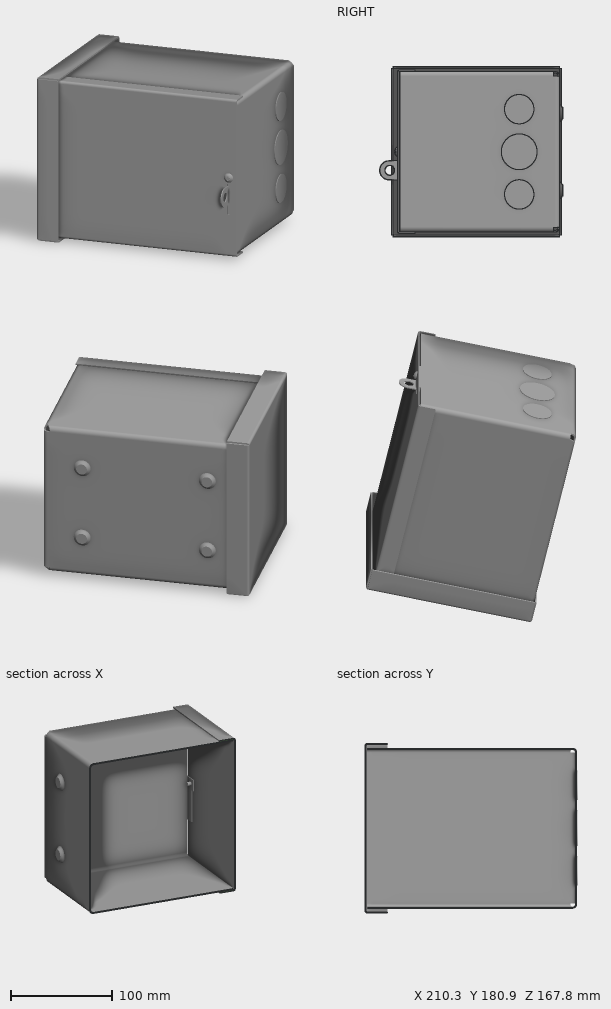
import cadquery as cq
import math

OVERALL_LENGTH = 210.3
SHEET = 1.5

HOOD_SIZE = 167.8
HOOD_DEPTH = 23.0
HOOD_SHEET = 1.7
HOOD_BEND = 2.5
HOOD_CORNER_INSET = 1.7

INNER_X = HOOD_BEND
END_X = 209.5
BACK_Y = HOOD_SIZE / 2 - HOOD_SHEET

COVER_FRONT_Y = -78.0
COVER_HEIGHT = 161.3
COVER_FLANGE = 17.7
COVER_BEND = 2.5
COVER_INNER_Y = COVER_FRONT_Y + SHEET

TUB_FRONT_Y = COVER_FRONT_Y + COVER_BEND
TUB_HEIGHT = COVER_HEIGHT - 2 * SHEET
TUB_BEND = 4.6

NOTCH_OPENING = 7.2
NOTCH_LENGTH = 5.9
NOTCH_RADIUS = 2.0
NOTCH_INSET_X = 4.8
NOTCH_INSET_Y = NOTCH_LENGTH - NOTCH_RADIUS

BOSS_FIRST_X = 42.7
BOSS_PITCH_X = 126.8
BOSS_PITCH_Z = 76.1
BOSS_BASE_DIAMETER = 17.2
BOSS_TIP_DIAMETER = 11.0
BOSS_HEIGHT = 3.2

KNOCKOUT_HEIGHT = OVERALL_LENGTH - END_X
KNOCKOUT_Y = 42.3
KNOCKOUT_PITCH = 42.0
CENTER_KNOCKOUT_DIAMETER = 35.3
SIDE_KNOCKOUT_DIAMETER = 29.0

SCREW_X = 201.0
HEAD_DIAMETER = 9.7
HEAD_HEIGHT = 2.7
SHANK_DIAMETER = 4.2
SHANK_LENGTH = 6.3
CROSS_SPAN = 4.6
CROSS_WIDTH = 1.7
CROSS_DEPTH = 1.7

SLOT_LEFT_X = 198.8
SLOT_WIDTH = 3.5
SLOT_TOP_Z = -6.3
SLOT_LENGTH = 31.5

HASP_LEFT_X = 199.4
HASP_THICKNESS = 1.0
HASP_RADIUS = 9.5
HASP_HOLE_DIAMETER = 9.5
HASP_CENTER_Y = -86.0
HASP_CENTER_Z = -18.3
HASP_HOLE_Y = -85.4
BASE_LEFT_X = 195.5
BASE_MARGIN = 2.0
BASE_TOP_Z = 5.5


def block(x_range, y_range, z_range):
    """Box spanning the given (low, high) ranges."""
    corner = (x_range[0], y_range[0], z_range[0])
    size = [high - low for low, high in (x_range, y_range, z_range)]
    return cq.Workplane("XY").box(*size, centered=False).translate(corner)


def centered(size):
    return (-size / 2, size / 2)


def cylinder_along_y(x, z, diameter, y_range):
    start = cq.Vector(x, y_range[0], z)
    length = y_range[1] - y_range[0]
    return cq.Workplane(cq.Solid.makeCylinder(diameter / 2, length, start, cq.Vector(0, 1, 0)))


def make_hood():
    depth = (0, HOOD_DEPTH)
    outer = block(depth, centered(HOOD_SIZE), centered(HOOD_SIZE)).faces("<X").edges().fillet(HOOD_BEND)
    inner_size = HOOD_SIZE - 2 * HOOD_SHEET
    inner_depth = (HOOD_SHEET, HOOD_DEPTH)
    inner = block(inner_depth, centered(inner_size), centered(inner_size))
    inner = inner.faces("<X").edges().fillet(HOOD_BEND - HOOD_SHEET)
    hood = outer.cut(inner)
    notch_inner = HOOD_SIZE / 2 - HOOD_CORNER_INSET
    corner = block(depth, (notch_inner, HOOD_SIZE / 2), (notch_inner, HOOD_SIZE / 2))
    for quarter in range(4):
        hood = hood.cut(corner.rotate((0, 0, 0), (1, 0, 0), 90 * quarter))
    return hood


def tub_block(offset):
    """Rounded tub outline moved inward by the offset."""
    height = TUB_HEIGHT - 2 * offset
    body = block((INNER_X, END_X - offset), (TUB_FRONT_Y, BACK_Y - offset), centered(height))
    wall_edges = body.faces(">Y").edges("|X").add(body.faces(">X").edges("|Y"))
    wall_edges = wall_edges.add(body.edges(">X and >Y"))
    return wall_edges.fillet(TUB_BEND - offset)


def relief_notch():
    """Vertical cutter at the corner of the back and +X walls, above the bend."""
    throat_x = END_X - NOTCH_INSET_X
    throat_y = BACK_Y - NOTCH_INSET_Y
    diagonal = NOTCH_RADIUS * (1 - math.sqrt(0.5))
    outline = (
        cq.Workplane("XY")
        .moveTo(END_X, BACK_Y)
        .lineTo(END_X - NOTCH_OPENING, BACK_Y)
        .lineTo(throat_x, throat_y)
        .threePointArc(
            (throat_x + diagonal, throat_y - NOTCH_RADIUS + diagonal),
            (throat_x + NOTCH_RADIUS, throat_y - NOTCH_RADIUS),
        )
        .lineTo(END_X, throat_y - NOTCH_RADIUS)
        .close()
    )
    return outline.extrude(TUB_BEND).translate((0, 0, TUB_HEIGHT / 2 - TUB_BEND))


def mounting_boss(x, z):
    boss = cq.Solid.makeCone(
        BOSS_BASE_DIAMETER / 2,
        BOSS_TIP_DIAMETER / 2,
        BOSS_HEIGHT,
        cq.Vector(x, BACK_Y, z),
        cq.Vector(0, 1, 0),
    )
    return cq.Workplane(boss)


def knockout(z, diameter):
    start = cq.Vector(END_X, KNOCKOUT_Y, z)
    return cq.Workplane(cq.Solid.makeCylinder(diameter / 2, KNOCKOUT_HEIGHT, start, cq.Vector(1, 0, 0)))


def make_tub():
    tub = tub_block(0).cut(tub_block(SHEET))
    notch = relief_notch()
    tub = tub.cut(notch).cut(notch.mirror("XY"))

    for x in (BOSS_FIRST_X, BOSS_FIRST_X + BOSS_PITCH_X):
        for z in centered(BOSS_PITCH_Z):
            tub = tub.union(mounting_boss(x, z))

    tub = tub.union(knockout(0, CENTER_KNOCKOUT_DIAMETER))
    for z in (-KNOCKOUT_PITCH, KNOCKOUT_PITCH):
        tub = tub.union(knockout(z, SIDE_KNOCKOUT_DIAMETER))
    return tub


def make_cover():
    length = (INNER_X, END_X)
    y_range = (COVER_FRONT_Y, COVER_FRONT_Y + COVER_FLANGE)
    outer = block(length, y_range, centered(COVER_HEIGHT)).edges("|X and <Y").fillet(COVER_BEND)
    inner = block(length, (COVER_INNER_Y, y_range[1]), centered(TUB_HEIGHT))
    inner = inner.edges("|X and <Y").fillet(COVER_BEND - SHEET)
    slot = block(
        (SLOT_LEFT_X, SLOT_LEFT_X + SLOT_WIDTH),
        (COVER_FRONT_Y, COVER_INNER_Y),
        (SLOT_TOP_Z - SLOT_LENGTH, SLOT_TOP_Z),
    )
    screw_hole = cylinder_along_y(SCREW_X, 0, SHANK_DIAMETER, (COVER_FRONT_Y, COVER_INNER_Y))
    return outer.cut(inner).cut(slot).cut(screw_hole)


def make_screw():
    radius = HEAD_DIAMETER / 2
    dome_radius = (radius**2 + HEAD_HEIGHT**2) / (2 * HEAD_HEIGHT)
    head_top_y = COVER_FRONT_Y - HEAD_HEIGHT
    dome = cq.Workplane("XY").sphere(dome_radius).translate((SCREW_X, head_top_y + dome_radius, 0))
    head = dome.intersect(cylinder_along_y(SCREW_X, 0, HEAD_DIAMETER, (head_top_y, COVER_FRONT_Y)))
    shank_range = (COVER_FRONT_Y, COVER_FRONT_Y + SHANK_LENGTH)
    screw = head.union(cylinder_along_y(SCREW_X, 0, SHANK_DIAMETER, shank_range))
    arm = cq.Workplane("XY").box(CROSS_SPAN, CROSS_DEPTH, CROSS_WIDTH)
    cross = arm.union(arm.rotate((0, 0, 0), (0, 1, 0), 90))
    return screw.cut(cross.translate((SCREW_X, head_top_y + CROSS_DEPTH / 2, 0)))


def hasp_base():
    """Plate in front of the +X wall that takes the screw, narrowed to the line of the eye along the slot."""
    slot_bottom_z = SLOT_TOP_Z - SLOT_LENGTH
    y_range = (COVER_INNER_Y, COVER_INNER_Y + HASP_THICKNESS)
    bottom_z = slot_bottom_z - BASE_MARGIN
    plate = block((BASE_LEFT_X, END_X), y_range, (bottom_z, BASE_TOP_Z))
    narrowing = block((BASE_LEFT_X, HASP_LEFT_X), y_range, (bottom_z, SLOT_TOP_Z))
    return plate.cut(narrowing).cut(cylinder_along_y(SCREW_X, 0, SHANK_DIAMETER, y_range))


def make_hasp():
    root_y = COVER_INNER_Y + HASP_THICKNESS
    eye = (
        cq.Workplane("YZ")
        .moveTo(root_y, HASP_CENTER_Z + HASP_RADIUS)
        .lineTo(HASP_CENTER_Y, HASP_CENTER_Z + HASP_RADIUS)
        .threePointArc(
            (HASP_CENTER_Y - HASP_RADIUS, HASP_CENTER_Z),
            (HASP_CENTER_Y, HASP_CENTER_Z - HASP_RADIUS),
        )
        .lineTo(root_y, HASP_CENTER_Z - HASP_RADIUS)
        .close()
        .moveTo(HASP_HOLE_Y, HASP_CENTER_Z)
        .circle(HASP_HOLE_DIAMETER / 2)
        .extrude(HASP_THICKNESS)
    )
    return hasp_base().union(eye.translate((HASP_LEFT_X, 0, 0)))


hood = make_hood()
tub = make_tub()
cover = make_cover()
screw = make_screw()
hasp = make_hasp()

bodies = [body.solids().val() for body in (hood, tub, cover, screw, hasp)]
result = cq.Compound.makeCompound(bodies)